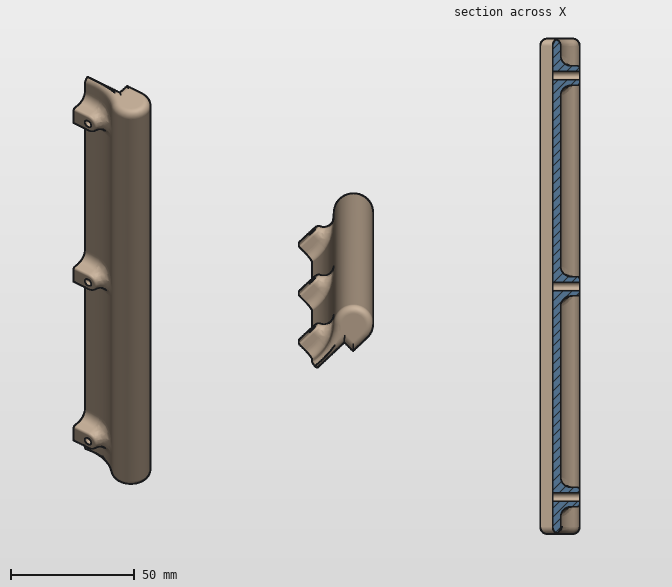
import cadquery as cq
import math

length = 200.0
width = 31.0
depth = 16.0

bead_radius = depth / 2
bead_x = width - bead_radius
bead_y = bead_radius
bead_left = bead_x - bead_radius
flange_back = 11.0
sweep_radius = 19.5

cos45 = math.sqrt(0.5)
blend_x = bead_x - bead_radius * cos45
blend_y = bead_y - bead_radius * cos45
sweep_x = blend_x - sweep_radius * cos45
sweep_y = blend_y - sweep_radius * cos45
sweep_mid = (
    sweep_x + sweep_radius * math.sin(math.pi / 8),
    sweep_y + sweep_radius * math.cos(math.pi / 8),
)
flange_front = sweep_y + math.sqrt(sweep_radius**2 - sweep_x**2)

end_round = 3.0
waste_margin = 1.0
end_length = 4.0
middle_length = length - 2 * end_length

sweep_angle = 70.0
bead_angle = 225.0

boss_x = 7.5
boss_radius = 4.0
boss_pitch = 85.0
boss_root_round = 4.0
boss_tip_round = 1.0
hole_diameter = 3.2


def make_bar(bottom, bar_length):
    return (
        cq.Workplane("XY", origin=(0, 0, bottom))
        .moveTo(0, flange_front)
        .threePointArc(sweep_mid, (blend_x, blend_y))
        .threePointArc((bead_x + bead_radius * cos45, blend_y), (bead_x, depth))
        .lineTo(bead_left, depth)
        .lineTo(bead_left, flange_back)
        .lineTo(0, flange_back)
        .close()
        .extrude(bar_length)
    )


def rim_section(edge_x, edge_y, inward_x, inward_y):
    """Waste outside a quarter round on the top rim; inward points into the material."""
    plane = cq.Plane(
        origin=(edge_x, edge_y, length / 2),
        xDir=(inward_x, inward_y, 0),
        normal=(inward_y, -inward_x, 0),
    )
    arc_inset = end_round * (1 - cos45)
    return (
        cq.Workplane(plane)
        .moveTo(-waste_margin, waste_margin)
        .lineTo(end_round, waste_margin)
        .lineTo(end_round, 0)
        .threePointArc((arc_inset, -arc_inset), (0, -end_round))
        .lineTo(-waste_margin, -end_round)
        .close()
    )


def make_top_end():
    """Short length of bar at the top with its rim rounded, except at the flange edge."""
    top_plane = cq.Workplane("XY", origin=(0, 0, length / 2))
    back_path = top_plane.moveTo(0, flange_back).lineTo(bead_left, flange_back).lineTo(bead_left, depth)
    back_waste = rim_section(0, flange_back, 0, -1).sweep(back_path, transition="right")

    blend_rim = (blend_x, blend_y, 1, 1)
    sweep_waste = rim_section(*blend_rim).revolve(sweep_angle, (-sweep_radius, 0), (-sweep_radius, 1))
    bead_waste = rim_section(*blend_rim).revolve(bead_angle, (bead_radius, 0), (bead_radius, 1))
    bead_back_waste = rim_section(bead_x, depth, 0, -1).extrude(bead_radius)

    end = make_bar(middle_length / 2, end_length)
    for waste in (bead_back_waste, bead_waste, sweep_waste, back_waste):
        end = end.cut(waste)
    return end


def add_boss(body, z):
    """Round-ended boss from the flange edge, level with the front of the bead."""
    boss = (
        cq.Workplane("XZ", origin=(0, 0, z))
        .moveTo(0, -boss_radius)
        .lineTo(boss_x, -boss_radius)
        .threePointArc((boss_x + boss_radius, 0), (boss_x, boss_radius))
        .lineTo(0, boss_radius)
        .close()
        .extrude(-(flange_front + flange_back) / 2)
    )
    boss = boss.faces("<Y").edges("not <X").fillet(boss_tip_round)
    body = body.union(boss)

    reach = boss_radius + boss_tip_round
    root_box = cq.selectors.BoxSelector(
        (boss_tip_round, 2 * boss_tip_round, z - reach), (boss_x + reach, flange_back - boss_tip_round, z + reach)
    )
    body = body.edges(root_box).edges("not |Y").fillet(boss_root_round)

    hole = (
        cq.Workplane("XZ", origin=(boss_x, 0, z))
        .circle(hole_diameter / 2)
        .extrude(-depth)
    )
    return body.cut(hole)


result = make_bar(-middle_length / 2, middle_length)
for boss_z in (-boss_pitch, 0, boss_pitch):
    result = add_boss(result, boss_z)
top_end = make_top_end()
result = result.union(top_end).union(top_end.mirror("XY")).clean()